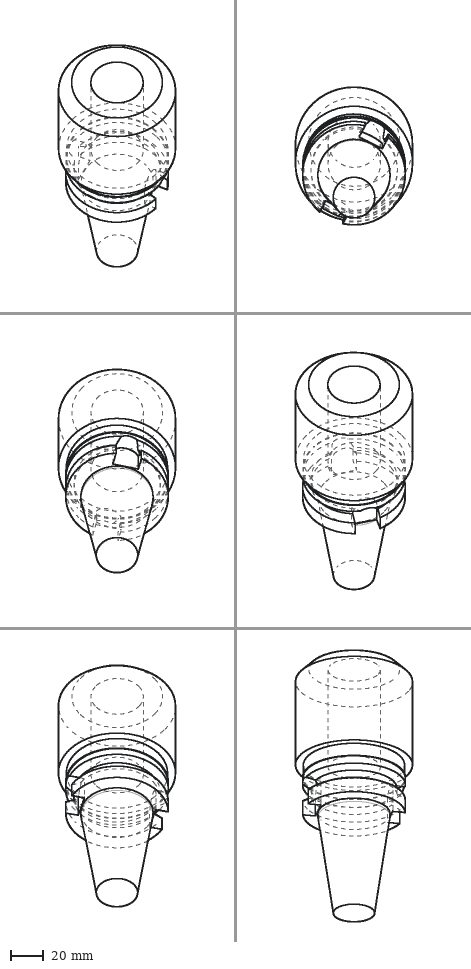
import cadquery as cq

total_height = 165.4
taper_top = 65.5
flange_bottom = 67.5
flange_top = 76.9
groove_bottom = 79.7
groove_top = 84.5
collar_bottom = 86.8
collar_top = 92.1
body_bottom = 100.5

taper_small_radius = 12.7
taper_large_radius = 22.2
flange_radius = 63.0 / 2
groove_radius = 26.5
collar_radius = 31.6
neck_radius = 31.1
body_radius = 72.0 / 2
body_chamfer = 8.1

bore_radius = 16.0
bore_depth = 66.2

slot_width = 16.0
slot_top = 88.5
slot_floor = 22.5


def turned_holder():
    """Revolve the taper, grooved flange, neck and chamfered body about Z."""
    profile = [
        (0, 0),
        (taper_small_radius, 0),
        (taper_large_radius, taper_top),
        (taper_large_radius, flange_bottom),
        (flange_radius, flange_bottom),
        (flange_radius, flange_top),
        (groove_radius, groove_bottom),
        (groove_radius, groove_top),
        (collar_radius, collar_bottom),
        (collar_radius, collar_top),
        (neck_radius, collar_top),
        (neck_radius, body_bottom),
        (body_radius, body_bottom),
        (body_radius, total_height - body_chamfer),
        (body_radius - body_chamfer, total_height),
        (0, total_height),
    ]
    return cq.Workplane("XZ").polyline(profile).close().revolve(360, (0, 0), (0, 1))


def nose_bore():
    """Blind cylinder opening at the top face."""
    floor = total_height - bore_depth
    return cq.Workplane("XY").workplane(offset=floor).circle(bore_radius).extrude(bore_depth)


def drive_slot(side):
    """Arched slot cutter on the +X (side = 1) or -X (side = -1) side."""
    half_width = slot_width / 2
    arch_start = slot_top - half_width
    cut_depth = body_radius - slot_floor
    return (
        cq.Workplane("YZ", origin=(side * slot_floor, 0, 0))
        .moveTo(-half_width, flange_bottom)
        .lineTo(half_width, flange_bottom)
        .lineTo(half_width, arch_start)
        .threePointArc((0, slot_top), (-half_width, arch_start))
        .close()
        .extrude(side * cut_depth)
    )


result = turned_holder().cut(nose_bore())
for side in (-1, 1):
    result = result.cut(drive_slot(side))